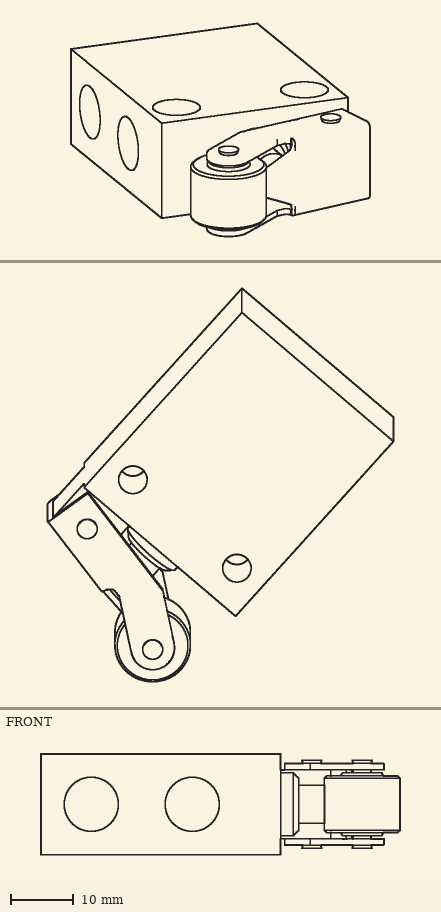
import cadquery as cq
import math

body_length = 38.0
body_depth = 32.0
body_height = 16.0

mount_x = 32.0
mount_edge = 5.0
mount_bore = 4.5
mount_counterbore = 7.5
counterbore_depth = 4.4

port_positions = (8.0, 24.0)
port_diameter = 8.6
port_depth = 10.0

collar_radius = 5.0
collar_length = 2.9
collar_chamfer = 0.9
plunger_radius = 3.0
plunger_length = 7.0
plunger_y = body_depth / 2

lug_length = 8.0
lug_depth = 9.9
inner_half_width = 5.5

sheet = 1.0
bend_radius = 0.95
lever_tilt = 12.0
pivot_x = 43.0
pivot_y = 26.95
lever_back = 4.5
lever_near = 3.5
lever_far = lever_near + sheet
outer_half_width = inner_half_width + sheet

roller_along = 22.0
roller_across = 3.5
arm_radius = 3.5
arm_angle = 25.0

web_end = 9.85
cheek_relief_center = 10.9
cheek_relief_radius = 0.8
web_relief_radius = 1.25
tongue_end = 15.75
tongue_slope = 24.0
edge_round = 0.2

pin_radius = 1.4
pin_head_radius = 1.6
pin_half_length = 7.0
roller_diameter = 12.0
roller_radius = roller_diameter / 2
roller_half_width = 4.5
roller_chamfer = 0.4
hub_base_radius = 3.4
hub_end_radius = 3.1
hub_half_width = 5.0


def turn_symmetric(profile):
    """Solid turned about Z from (radius, height) points, mirrored about Z = 0."""
    axis_end = (0, profile[-1][1])
    upper = cq.Workplane("XZ").polyline([(0, 0), *profile, axis_end]).close().revolve(360, (0, 0), (0, 1))
    return upper.union(upper.mirror("XY"))


def make_body():
    body = cq.Workplane("XY").box(body_length, body_depth, body_height, centered=(False, False, True))
    mount_points = [(mount_x, mount_edge), (mount_x, body_depth - mount_edge)]
    body = (
        body.faces(">Z").workplane(origin=(0, 0, body_height / 2))
        .pushPoints(mount_points)
        .cboreHole(mount_bore, mount_counterbore, counterbore_depth)
    )
    ports = (
        cq.Workplane("XZ")
        .pushPoints([(x, 0) for x in port_positions])
        .circle(port_diameter / 2)
        .extrude(-port_depth)
    )
    return body.cut(ports)


def make_lug():
    return cq.Workplane("XY").box(
        lug_length, lug_depth, 2 * inner_half_width, centered=(False, False, True)
    ).translate((body_length, body_depth - lug_depth, 0))


def make_plunger():
    face = cq.Workplane("YZ", origin=(body_length, plunger_y, 0))
    collar = face.circle(collar_radius).extrude(collar_length).faces(">X").chamfer(collar_chamfer)
    rod = face.circle(plunger_radius).extrude(plunger_length)
    return collar.union(rod)


def make_cheek():
    """One flat lever side, from the inner to the outer half width."""
    turn = math.radians(arm_angle)
    normal_along = -arm_radius * math.sin(turn)
    normal_across = arm_radius * math.cos(turn)
    near_tangent = (roller_along - normal_along, roller_across - normal_across)
    far_tangent = (roller_along + normal_along, roller_across + normal_across)
    tip = (roller_along + arm_radius * math.cos(turn), roller_across + arm_radius * math.sin(turn))
    elbow_along = near_tangent[0] - (near_tangent[1] + lever_near) / math.tan(turn)
    relief_across = lever_near - cheek_relief_radius
    notch_along = far_tangent[0] - (far_tangent[1] - relief_across) / math.tan(turn)
    relief_start = cheek_relief_center - cheek_relief_radius
    diagonal = cheek_relief_radius * math.sqrt(0.5)
    relief_middle = (cheek_relief_center - diagonal, lever_near - diagonal)

    cheek = (
        cq.Workplane("XY", origin=(0, 0, inner_half_width))
        .moveTo(-lever_back, -lever_near)
        .lineTo(elbow_along, -lever_near)
        .lineTo(*near_tangent)
        .threePointArc(tip, far_tangent)
        .lineTo(notch_along, relief_across)
        .lineTo(cheek_relief_center, relief_across)
        .threePointArc(relief_middle, (relief_start, lever_near))
        .lineTo(web_end, lever_near)
        .lineTo(web_end, lever_far)
        .lineTo(-lever_back, lever_far)
        .close()
        .extrude(sheet)
    )
    arm_edges = cq.selectors.BoxSelector(
        (relief_start, -2 * lever_near, outer_half_width - edge_round),
        (2 * roller_along, 2 * roller_radius, outer_half_width + edge_round),
    )
    return cheek.edges(arm_edges).fillet(edge_round)


def make_web():
    """Outer wall of the channel, narrowing to a tongue beside the roller."""
    slope = math.radians(tongue_slope)
    relief_center = web_end + web_relief_radius
    corner_along = relief_center - web_relief_radius * math.sin(slope)
    corner_height = inner_half_width - web_relief_radius * math.cos(slope)
    tip_height = corner_height - (tongue_end - corner_along) * math.tan(slope)
    half_turn = (slope + math.pi / 2) / 2
    middle_along = relief_center - web_relief_radius * math.sin(half_turn)
    middle_height = inner_half_width - web_relief_radius * math.cos(half_turn)
    full = (
        cq.Workplane("XY")
        .box(lever_back + web_end, sheet, 2 * outer_half_width, centered=(False, False, True))
        .translate((-lever_back, lever_near, 0))
    )
    tongue = (
        cq.Workplane("XZ", origin=(0, lever_near, 0))
        .moveTo(web_end, -inner_half_width)
        .threePointArc((middle_along, -middle_height), (corner_along, -corner_height))
        .lineTo(tongue_end, -tip_height)
        .lineTo(tongue_end, tip_height)
        .lineTo(corner_along, corner_height)
        .threePointArc((middle_along, middle_height), (web_end, inner_half_width))
        .close()
        .extrude(-sheet)
    )
    tongue = tongue.faces(">Y").edges("not <X").fillet(edge_round)
    return full.union(tongue)


def make_lever():
    cheek = make_cheek()
    lever = make_web().union(cheek).union(cheek.mirror("XY"))
    bends = cq.selectors.BoxSelector(
        (-lever_back, lever_far - edge_round, -2 * outer_half_width),
        (web_end, lever_far + edge_round, 2 * outer_half_width),
    )
    return lever.edges("|X").edges(bends).edges(">Z or <Z").fillet(bend_radius)


def make_pin():
    """Rivet whose heads flare outward from the cheeks."""
    return turn_symmetric([
        (pin_radius, 0),
        (pin_radius, outer_half_width),
        (pin_head_radius, pin_half_length),
    ])


def make_roller():
    return turn_symmetric([
        (roller_radius, 0),
        (roller_radius, roller_half_width - roller_chamfer),
        (roller_radius - roller_chamfer, roller_half_width),
        (hub_base_radius, roller_half_width),
        (hub_end_radius, hub_half_width),
    ])


def make_lever_assembly():
    pin = make_pin()
    roller = make_roller().union(pin).translate((roller_along, roller_across, 0))
    assembly = make_lever().union(pin).union(roller)
    return assembly.rotate((0, 0, 0), (0, 0, 1), lever_tilt - 90).translate((pivot_x, pivot_y, 0))


result = make_body().union(make_lug()).union(make_plunger()).union(make_lever_assembly())